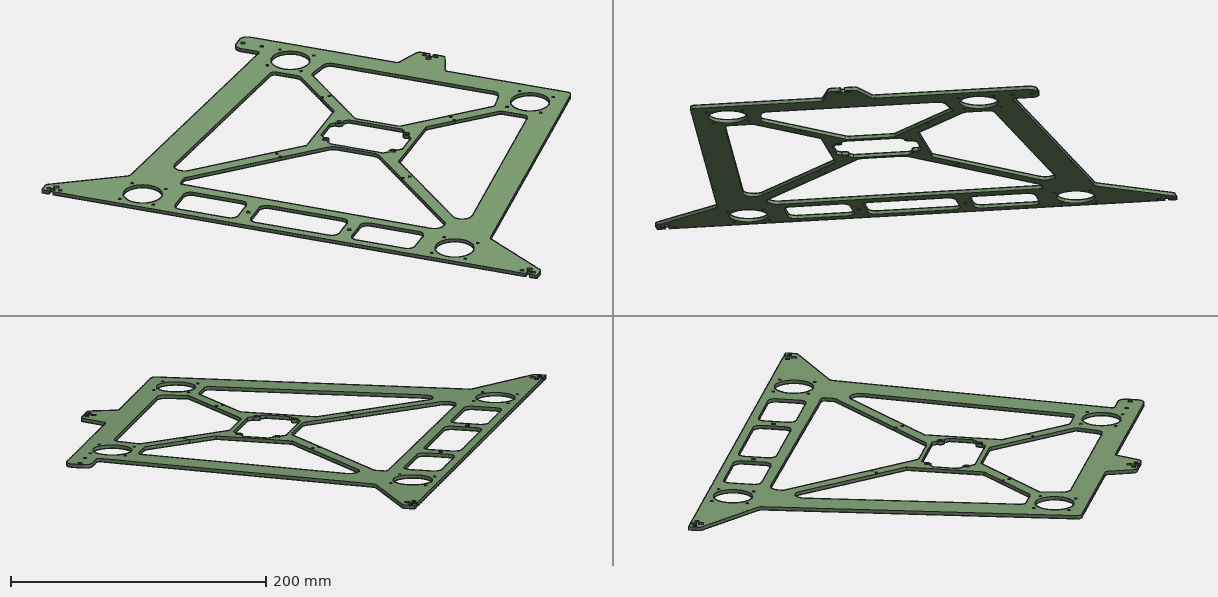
import cadquery as cq
import math

thickness = 2.8
width = 413.5
height = 320.0
bar_top = 297.5

side_lean = 0.1
outer_half_width_base = 155.0
rail_width = 23.0

foot_tip_y = 9.5
foot_slope = 0.65
foot_tip_radius = 3.5
foot_root_radius = 4.0

ear_x = -149.7
ear_bottom = 276.7
ear_radius = 6.5
ear_root_radius = 2.0
shoulder_radius = 4.0

tab_top_half = 11.0
tab_base_half = 20.0
tab_tip_radius = 4.0
tab_root_radius = 2.5

upper_arm_inner = 179.0
upper_arm_outer = 165.5
lower_arm_inner = 166.5
lower_arm_outer = 180.8

hub_half_width = 38.5
hub_top = 197.7
hub_bottom = 148.0
hub_centre_y = 172.5
hub_window_size = (68.0, 42.5)
hub_window_chamfer = 11.5
hub_hole_spacing = (57.0, 32.0)
hub_hole_diameter = 3.4
hub_boss_diameter = 6.5

upper_window_top = 278.5
upper_window_top_half = 72.5
upper_window_side_half = 76.5
upper_window_hub_radius = 4.0
upper_window_side_radius = 2.0
upper_window_top_radius = 6.5
side_window_top = 249.5
side_window_arm_radius = 6.0
side_window_rail_radius = 4.0
side_window_tip_radius = 8.3
lower_window_half_width = 109.0
lower_window_left_bottom = 47.0
lower_window_right_bottom = 45.5
lower_window_hub_radius = 8.3
lower_window_arm_radius = 2.5
lower_window_left_radius = 2.5
lower_window_right_radius = 8.3

bar_slot_bottom = 7.0
bar_slot_top = 37.2
bar_slot_radius = 6.0
middle_slot_half = 37.0
outer_slot_inner = 47.5
outer_slot_outer = 100.0

fan_diameter = 30.5
fan_screw_diameter = 2.0
fan_screw_spacing = 28.0
upper_fan = (100.0, 271.8)
lower_fan = (130.5, 21.0)
bar_hole = (42.0, 21.0)
bar_hole_diameter = 3.0
ear_hole_y = 286.2
ear_hole_x = -145.0
ear_hole_diameter = 3.4
ear_inner_hole_x = -129.5
ear_inner_hole_diameter = 2.52
arm_hole_diameter = 2.0
arm_hole_offset = 2.0
upper_arm_hole = (53.0, 224.0)
lower_arm_hole = (53.5, 119.0)

foot_mount_x = 197.7
foot_notch_shift = 1.2
tab_mount_y = height + 1.0
mount_hole_depth = 8.3
mount_hole_diameter = 4.0
notch_width = 3.5
notch_depth = 4.5
mount_screw_depth = 4.0
mount_screw_spacing = 9.5
mount_screw_diameter = 3.0


def outer_half(y):
    """Half width of the frame at height y."""
    return outer_half_width_base - side_lean * y


def rail_inner_half(y):
    """Half width between the inner edges of the side rails at height y."""
    return outer_half(y) - rail_width


def rounded_prism(corners):
    """Plate-thick prism from (x, y, radius) corners; radius 0 leaves a corner sharp."""
    outline = cq.Workplane("XY")
    count = len(corners)
    for i, (x, y, radius) in enumerate(corners):
        here = cq.Vector(x, y)
        to_prev = (cq.Vector(*corners[i - 1][:2]) - here).normalized()
        to_next = (cq.Vector(*corners[(i + 1) % count][:2]) - here).normalized()
        half_angle = to_prev.getAngle(to_next) / 2
        tangent = radius / math.tan(half_angle)
        start = here + to_prev * tangent
        outline = outline.moveTo(start.x, start.y) if i == 0 else outline.lineTo(start.x, start.y)
        if radius > 0:
            to_arc = radius / math.sin(half_angle) - radius
            middle = here + (to_prev + to_next).normalized() * to_arc
            end = here + to_next * tangent
            outline = outline.threePointArc((middle.x, middle.y), (end.x, end.y))
    return outline.close().extrude(thickness)


def mirrored(corners):
    """The same corners reflected about the Y axis."""
    return [(-x, y, radius) for x, y, radius in corners]


def discs(points, diameter):
    """Plate-thick cylinders centred on the points."""
    return cq.Workplane("XY").pushPoints(points).circle(diameter / 2).extrude(thickness)


def both_sides(point):
    """A point and its reflection about the Y axis."""
    x, y = point
    return [(-x, y), (x, y)]


def plate():
    half = width / 2
    root_y = (foot_tip_y + foot_slope * (half - outer_half_width_base)) / (1 - foot_slope * side_lean)
    root_x = outer_half(root_y)
    right = [
        (half, 0, 0),
        (half, foot_tip_y, foot_tip_radius),
        (root_x, root_y, foot_root_radius),
        (outer_half(bar_top), bar_top, shoulder_radius),
        (tab_base_half, bar_top, tab_root_radius),
        (tab_top_half, height, tab_tip_radius),
    ]
    left = [
        (-tab_top_half, height, tab_tip_radius),
        (-tab_base_half, bar_top, tab_root_radius),
        (ear_x, bar_top, ear_radius),
        (ear_x, ear_bottom, ear_radius),
        (-outer_half(ear_bottom), ear_bottom, ear_root_radius),
        (-root_x, root_y, foot_root_radius),
        (-half, foot_tip_y, foot_tip_radius),
        (-half, 0, 0),
    ]
    return rounded_prism(right + left)


def upper_window():
    right = [
        (hub_top - upper_arm_inner, hub_top, upper_window_hub_radius),
        (upper_window_side_half, upper_window_side_half + upper_arm_inner, upper_window_side_radius),
        (upper_window_top_half, upper_window_top, upper_window_top_radius),
    ]
    return rounded_prism(right + mirrored(right)[::-1])


def lower_window():
    arm_end_y = lower_arm_inner - lower_window_half_width
    return rounded_prism([
        (hub_bottom - lower_arm_inner, hub_bottom, lower_window_hub_radius),
        (-lower_window_half_width, arm_end_y, lower_window_arm_radius),
        (-lower_window_half_width, lower_window_left_bottom, lower_window_left_radius),
        (lower_window_half_width, lower_window_right_bottom, lower_window_right_radius),
        (lower_window_half_width, arm_end_y, lower_window_arm_radius),
        (lower_arm_inner - hub_bottom, hub_bottom, lower_window_hub_radius),
    ])


def side_windows():
    tip_y = (lower_arm_outer - rail_inner_half(0)) / (1 - side_lean)
    corners = [
        (hub_half_width, hub_half_width + upper_arm_outer, 0),
        (side_window_top - upper_arm_outer, side_window_top, side_window_arm_radius),
        (rail_inner_half(side_window_top), side_window_top, side_window_rail_radius),
        (rail_inner_half(tip_y), tip_y, side_window_tip_radius),
        (hub_half_width, lower_arm_outer - hub_half_width, 0),
    ]
    return rounded_prism(corners).union(rounded_prism(mirrored(corners)))


def hub_window():
    opening = (
        cq.Workplane("XY").center(0, hub_centre_y).rect(*hub_window_size).extrude(thickness)
        .edges("|Z").chamfer(hub_window_chamfer)
    )
    return opening.cut(discs(hub_hole_points(), hub_boss_diameter))


def hub_hole_points():
    x = hub_hole_spacing[0] / 2
    dy = hub_hole_spacing[1] / 2
    return both_sides((x, hub_centre_y - dy)) + both_sides((x, hub_centre_y + dy))


def bar_slots():
    slots = cq.Workplane("XY")
    for x_min, x_max in [
        (-outer_slot_outer, -outer_slot_inner),
        (-middle_slot_half, middle_slot_half),
        (outer_slot_inner, outer_slot_outer),
    ]:
        slots = slots.union(rounded_prism([
            (x_min, bar_slot_bottom, bar_slot_radius),
            (x_max, bar_slot_bottom, bar_slot_radius),
            (x_max, bar_slot_top, bar_slot_radius),
            (x_min, bar_slot_top, bar_slot_radius),
        ]))
    return slots


def fan_mounts():
    centres = both_sides(upper_fan) + both_sides(lower_fan)
    half = fan_screw_spacing / 2
    screws = [(x + sx * half, y + sy * half) for x, y in centres for sx in (-1, 1) for sy in (-1, 1)]
    return discs(centres, fan_diameter).union(discs(screws, fan_screw_diameter))


def arm_holes():
    """A pair of holes side by side across each arm."""
    points = []
    for (x, y), across in [(upper_arm_hole, -1), (lower_arm_hole, 1)]:
        for side in (-1, 1):
            shift = side * arm_hole_offset
            points += both_sides((x + shift, y + across * shift))
    return discs(points, arm_hole_diameter)


def single_holes():
    return (
        discs(both_sides(bar_hole), bar_hole_diameter)
        .union(discs([(ear_hole_x, ear_hole_y)], ear_hole_diameter))
        .union(discs([(ear_inner_hole_x, ear_hole_y)], ear_inner_hole_diameter))
        .union(discs(hub_hole_points(), hub_hole_diameter))
    )


def edge_mount(x, edge_y, inward, notch_x):
    """Notch, hole and screw pair measured from edge_y; inward is +1 or -1 in Y."""
    screw_y = edge_y + inward * mount_screw_depth
    half = mount_screw_spacing / 2
    notch = (
        cq.Workplane("XY").center(notch_x, edge_y + inward * notch_depth / 2)
        .rect(notch_width, notch_depth).extrude(thickness)
    )
    hole = discs([(x, edge_y + inward * mount_hole_depth)], mount_hole_diameter)
    screws = discs([(x - half, screw_y), (x + half, screw_y)], mount_screw_diameter)
    return notch.union(hole).union(screws)


result = plate()
for opening in (upper_window(), lower_window(), side_windows(), hub_window(), bar_slots()):
    result = result.cut(opening)
for holes in (fan_mounts(), arm_holes(), single_holes()):
    result = result.cut(holes)
for side in (-1, 1):
    mount_x = side * foot_mount_x
    result = result.cut(edge_mount(mount_x, 0, 1, mount_x + side * foot_notch_shift))
result = result.cut(edge_mount(0, tab_mount_y, -1, 0))